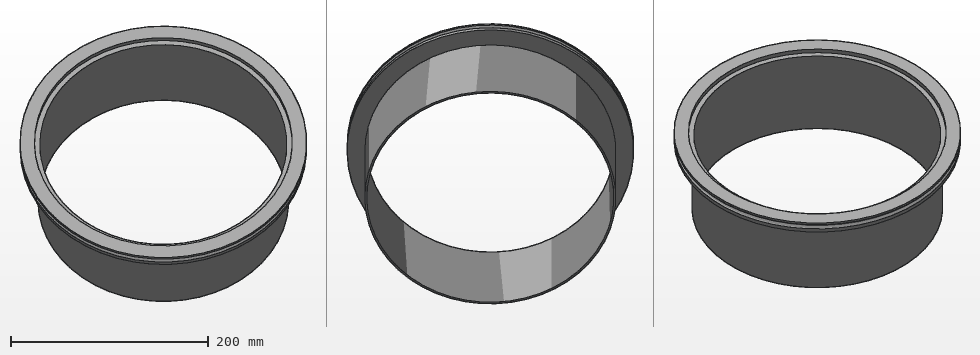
import cadquery as cq

flange_diameter = 290.0
total_height = 100.0
flange_thickness = 12.0

tube_outer_diameter = 254.0
bore_diameter = 250.0
recess_diameter = 260.7
recess_depth = 4.5

groove_radius = 2.5
groove_center_offset = 5.2

flange_radius = flange_diameter / 2
tube_radius = tube_outer_diameter / 2
bore_radius = bore_diameter / 2
recess_radius = recess_diameter / 2
flange_bottom = total_height - flange_thickness
recess_floor = total_height - recess_depth

groove_center = total_height - groove_center_offset
groove_top = groove_center + groove_radius
groove_bottom = groove_center - groove_radius
groove_floor_radius = flange_radius - groove_radius

section = (
    cq.Workplane("XZ")
    .moveTo(bore_radius, 0)
    .lineTo(tube_radius, 0)
    .lineTo(tube_radius, flange_bottom)
    .lineTo(flange_radius, flange_bottom)
    .lineTo(flange_radius, groove_bottom)
    .radiusArc((groove_floor_radius, groove_center), groove_radius)
    .radiusArc((flange_radius, groove_top), groove_radius)
    .lineTo(flange_radius, total_height)
    .lineTo(recess_radius, total_height)
    .lineTo(recess_radius, recess_floor)
    .lineTo(bore_radius, recess_floor)
    .close()
)

result = section.revolve(360, (0, 0), (0, 1))